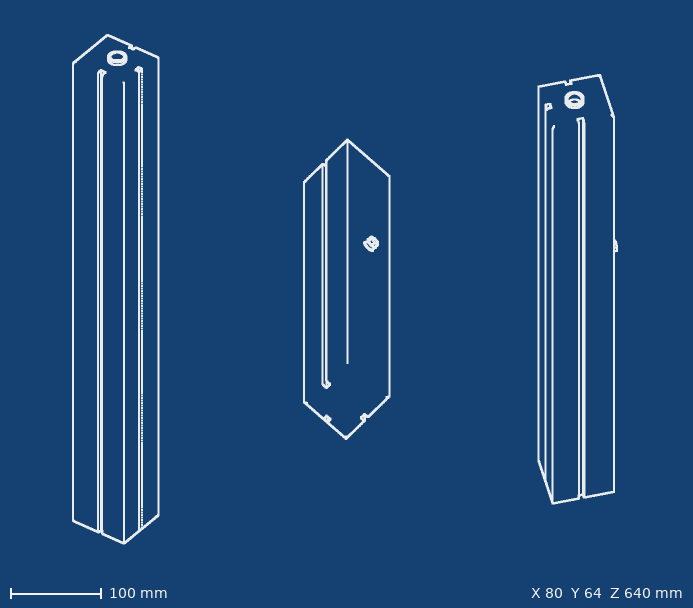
import cadquery as cq
import math

BAR_WIDTH = 70.0
BAR_DEPTH = 64.0
BAR_LENGTH = 636.0
END_FILLET = 3.0

GROOVE_WIDTH = 6.0
GROOVE_DEPTH = 6.0
AXIS_OFFSET = 2.0
CHANNEL_WALL = 1.0

COLLAR_DIAMETER = 20.0
BORE_DIAMETER = 15.5
TOTAL_LENGTH = 640.0
COLLAR_HEIGHT = TOTAL_LENGTH - BAR_LENGTH
BORE_DEPTH = 10.0

SCREW_HEIGHT = 379.0
SCREW_REACH = 10.0
FLANGE_DIAMETER = 13.0
SEAT_FLANGE_THICKNESS = 0.5
HEAD_FLANGE_THICKNESS = 0.5
NECK_DIAMETER = 11.0
HEAD_ACROSS_FLATS = 10.5
HEAD_THICKNESS = 4.5


def grooved_bar():
    bar = cq.Workplane("XY").box(BAR_WIDTH, BAR_DEPTH, BAR_LENGTH, centered=(True, True, False))
    bar = bar.faces("<Z or >Z").fillet(END_FILLET)
    for side in (-1, 1):
        groove = cq.Workplane("XY").center(AXIS_OFFSET, side * BAR_DEPTH / 2)
        bar = bar.cut(groove.rect(GROOVE_WIDTH, 2 * GROOVE_DEPTH).extrude(BAR_LENGTH))
    channel_span = GROOVE_DEPTH - CHANNEL_WALL
    channel_center = BAR_WIDTH / 2 - CHANNEL_WALL - channel_span / 2
    channel = cq.Workplane("XY").center(channel_center, 0)
    return bar.cut(channel.rect(channel_span, GROOVE_WIDTH).extrude(BAR_LENGTH))


def add_collar(bar):
    base = cq.Workplane("XY", origin=(AXIS_OFFSET, 0, BAR_LENGTH))
    collar = base.circle(COLLAR_DIAMETER / 2).extrude(COLLAR_HEIGHT)
    bar = bar.union(collar)
    bore = base.workplane(offset=COLLAR_HEIGHT - BORE_DEPTH)
    return bar.cut(bore.circle(BORE_DIAMETER / 2).extrude(BORE_DEPTH))


def screw():
    seat = cq.Workplane(cq.Plane(
        origin=(-BAR_WIDTH / 2, 0, SCREW_HEIGHT), xDir=(0, 1, 0), normal=(-1, 0, 0)))
    head_start = SCREW_REACH - HEAD_THICKNESS
    seat_flange = seat.circle(FLANGE_DIAMETER / 2).extrude(SEAT_FLANGE_THICKNESS)
    neck = seat.circle(NECK_DIAMETER / 2).extrude(head_start)
    head_flange = (
        seat.workplane(offset=head_start - HEAD_FLANGE_THICKNESS)
        .circle(FLANGE_DIAMETER / 2).extrude(HEAD_FLANGE_THICKNESS)
    )
    head_across_corners = HEAD_ACROSS_FLATS / math.cos(math.pi / 6)
    head = (
        seat.workplane(offset=head_start)
        .transformed(rotate=(0, 0, 90))
        .polygon(6, head_across_corners).extrude(HEAD_THICKNESS)
    )
    return seat_flange.union(neck).union(head_flange).union(head)


result = add_collar(grooved_bar()).union(screw())